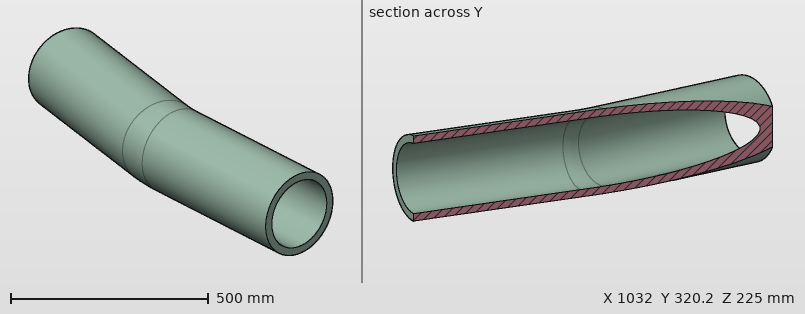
import cadquery as cq
import math

overall_length = 1032.0
outer_diameter = 225.0
inner_diameter = 184.0
bend_angle = 11.0
bend_radius = 1.5 * outer_diameter

angle = math.radians(bend_angle)
bend_reach = bend_radius * math.sin(angle)
tilted_end_reach = outer_diameter / 2 * math.sin(angle)
leg_length = (overall_length - bend_reach - tilted_end_reach) / (1 + math.cos(angle))


def bend_point(turn):
    """Centreline point after turning by the given angle through the bend."""
    x = leg_length + bend_radius * math.sin(turn)
    y = bend_radius * (1 - math.cos(turn))
    return (x, y)


bend_start = bend_point(0)
bend_middle = bend_point(angle / 2)
bend_end = bend_point(angle)
far_end = (
    bend_end[0] + leg_length * math.cos(angle),
    bend_end[1] + leg_length * math.sin(angle),
)
centreline = (
    cq.Workplane("XY")
    .lineTo(*bend_start)
    .threePointArc(bend_middle, bend_end)
    .lineTo(*far_end)
)

result = (
    cq.Workplane("YZ")
    .circle(outer_diameter / 2)
    .circle(inner_diameter / 2)
    .sweep(centreline)
)